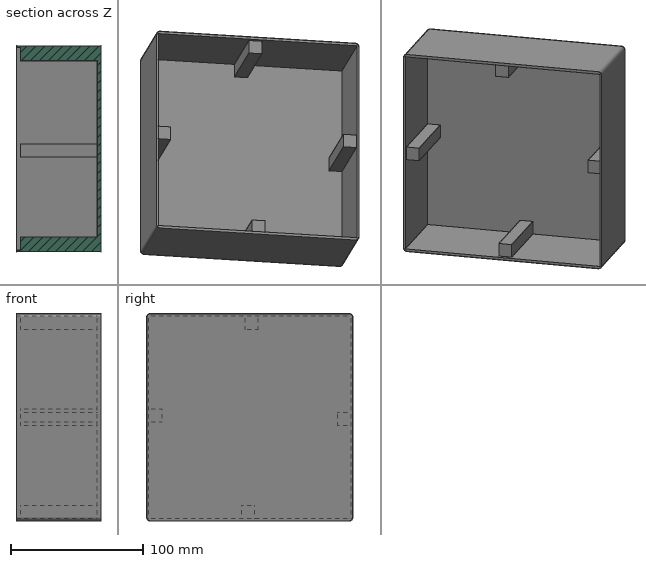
import cadquery as cq

depth = 64.0
cavity_side = 153.0
side_wall = 1.5
end_wall = 2.0
floor_thickness = 3.0
corner_radius = 3.0

post_side = 10.0
post_recess = 3.0
post_offset = 1.3
post_count = 4

width = cavity_side + 2 * side_wall
height = cavity_side + 2 * end_wall
cavity_depth = depth - floor_thickness


def make_shell():
    """Box with rounded outer corners and a sharp-cornered square cavity."""
    outside = (
        cq.Workplane("XY")
        .box(depth, width, height, centered=(False, True, True))
        .edges("|X")
        .fillet(corner_radius)
    )
    cavity = cq.Workplane("XY").box(
        cavity_depth, cavity_side, cavity_side, centered=(False, True, True)
    )
    return outside.cut(cavity)


def make_post(angle):
    """Post against the +Z wall, turned about the X axis by the given angle."""
    post_center_z = (cavity_side - post_side) / 2
    return (
        cq.Workplane("XY")
        .box(depth - post_recess, post_side, post_side, centered=(False, True, True))
        .translate((post_recess, post_offset, post_center_z))
        .rotate((0, 0, 0), (1, 0, 0), angle)
    )


result = make_shell()
for post_index in range(post_count):
    result = result.union(make_post(post_index * 360 / post_count))